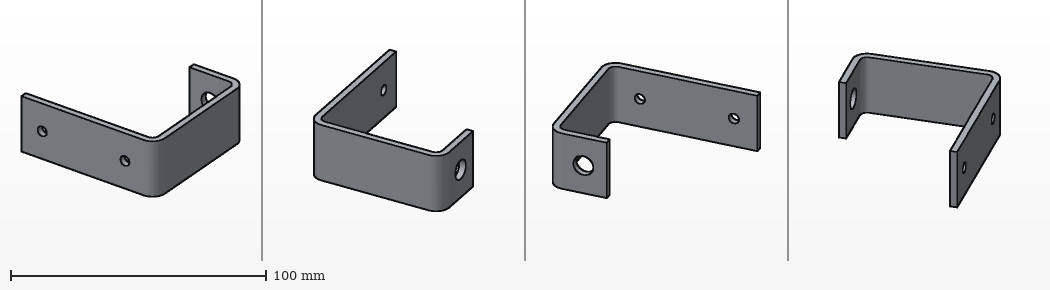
import cadquery as cq

length = 65.0
depth = 60.0
height = 25.0
short_flange = 25.0
thickness = 3.0
inner_radius = 3.0
outer_radius = inner_radius + thickness

small_hole_diameter = 4.3
large_hole_diameter = 8.4
outer_hole_x = 10.0
inner_hole_x = 50.0


def bent_strap():
    """U-shaped sheet with one long and one short flange and concentric bends."""
    outer = (
        cq.Workplane("XY")
        .rect(length, depth, centered=False)
        .extrude(height)
        .edges("|Z and >X")
        .fillet(outer_radius)
    )
    cavity = (
        cq.Workplane("XY")
        .center(0, thickness)
        .rect(length - thickness, depth - 2 * thickness, centered=False)
        .extrude(height)
        .edges("|Z and >X")
        .fillet(inner_radius)
    )
    flange_trim = cq.Workplane("XY").box(
        length - short_flange, depth - thickness, height, centered=False
    ).translate((0, thickness, 0))
    return outer.cut(cavity).cut(flange_trim)


def flange_hole(x, y_start, diameter):
    """Cylinder along Y that passes through one flange starting at y_start."""
    return (
        cq.Workplane("XZ", origin=(x, y_start, height / 2))
        .circle(diameter / 2)
        .extrude(-thickness)
    )


result = bent_strap()
for hole_x in (outer_hole_x, inner_hole_x):
    result = result.cut(flange_hole(hole_x, 0, small_hole_diameter))
result = result.cut(flange_hole(inner_hole_x, depth - thickness, large_hole_diameter))